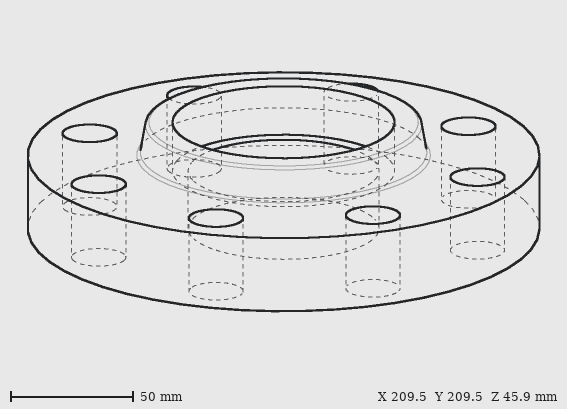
import cadquery as cq
import math

flange_diameter = 209.5
flange_thickness = 31.6

total_height = 45.9
hub_base_diameter = 117.7
hub_taper_angle = 10.0
hub_rounding = 1.5

bore_diameter = 78.1
socket_diameter = 91.0
socket_depth = 21.0

bolt_count = 8
bolt_circle_diameter = 168.0
bolt_hole_diameter = 22.2

flange_radius = flange_diameter / 2
hub_height = total_height - flange_thickness
hub_base_radius = hub_base_diameter / 2
hub_top_radius = hub_base_radius - hub_height * math.tan(math.radians(hub_taper_angle))


def make_blank():
    """Solid flange plate with the tapered hub, rounded at its rim and root."""
    blank = (
        cq.Workplane("XZ")
        .lineTo(flange_radius, 0)
        .lineTo(flange_radius, flange_thickness)
        .lineTo(hub_base_radius, flange_thickness)
        .lineTo(hub_top_radius, total_height)
        .lineTo(0, total_height)
        .close()
        .revolve(360, (0, 0, 0), (0, 1, 0))
    )
    hub_rim = cq.selectors.RadiusNthSelector(0)
    hub_root = cq.selectors.RadiusNthSelector(1)
    return blank.edges("%CIRCLE").edges(hub_rim + hub_root).fillet(hub_rounding)


def cut_stepped_bore(body):
    """Through bore with a wider socket sunk from the top face of the hub."""
    hub_top = body.faces(">Z").workplane(origin=(0, 0, total_height))
    return hub_top.cboreHole(bore_diameter, socket_diameter, socket_depth)


def cut_bolt_holes(body):
    """Equally spaced through holes, the first one on the +X axis."""
    holes = (
        cq.Workplane("XY")
        .polarArray(bolt_circle_diameter / 2, 0, 360, bolt_count)
        .circle(bolt_hole_diameter / 2)
        .extrude(flange_thickness)
    )
    return body.cut(holes)


blank = make_blank()
bored_flange = cut_stepped_bore(blank)
result = cut_bolt_holes(bored_flange)